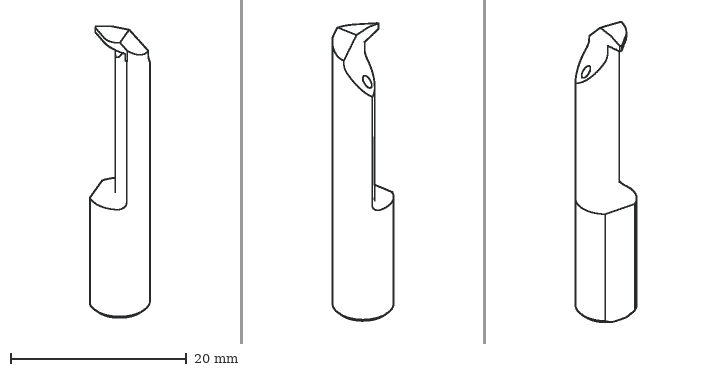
import cadquery as cq
import math

total_height = 37.0
shank_diameter = 7.0
shank_radius = shank_diameter / 2
shank_height = 14.8
shank_chamfer = 0.5
flat_to_back = 6.35
flat_x = shank_radius - flat_to_back

neck_radius = 3.0
neck_axis_x = 2.65
neck_base_fillet = 0.8

rake_y = 0.0
clearance_top_z = 33.65
clearance_run = 8.1
clearance_drop = 9.7
clearance_fillet = 1.65

nose_land = 0.25
outer_straight = 1.7
head_side_y = -2.85
edge_bottom_z = 35.9
edge_top_z = 36.55
wedge_slope = 0.3
head_arc_end_x = 1.0
head_side_bottom_z = 34.62

top_tilt = 0.04
bevel_sum = 38.17
bevel_tilt = 0.065

facet_angle = math.radians(34)
facet_bottom_z = 34.18
facet_slope = 0.32

coolant_diameter = 1.0
coolant_x = 1.45
coolant_y = 1.78

reach = 4 * shank_radius


def cut_beyond(body, point, normal):
    """Remove everything on the outer side of a plane."""
    plane = cq.Plane(origin=point, normal=normal)
    return body.cut(cq.Workplane(plane).rect(reach, reach).extrude(reach))


def make_blank():
    """Full-length cylinder with a bottom chamfer and the clamping flat."""
    blank = cq.Workplane("XY").circle(shank_radius).extrude(total_height)
    blank = blank.faces("<Z").chamfer(shank_chamfer)
    flat = cq.Workplane("XY").box(reach, reach, total_height, centered=(True, True, False))
    return blank.cut(flat.translate((flat_x - reach / 2, 0, 0)))


def cut_neck(body):
    """Turn the neck down about its offset axis, leaving a fillet at the shank."""
    upper_height = total_height - shank_height
    core = cq.Workplane("XY").circle(neck_radius).extrude(upper_height)
    ring = cq.Workplane("XY").circle(reach).extrude(upper_height).cut(core)
    at_core = cq.selectors.RadiusNthSelector(0)
    ring = ring.faces("<Z").edges(at_core).fillet(neck_base_fillet)
    body = body.cut(ring.translate((neck_axis_x, 0, shank_height)))

    cos_facet = math.cos(facet_angle)
    sin_facet = math.sin(facet_angle)
    facet_point = (neck_axis_x - neck_radius * cos_facet, -neck_radius * sin_facet, facet_bottom_z)
    body = cut_beyond(body, facet_point, (-cos_facet, -sin_facet, facet_slope))

    side = cq.Workplane("XY").box(reach, reach, reach, centered=(True, True, False))
    return body.cut(side.translate((0, head_side_y - reach / 2, head_side_bottom_z)))


def make_head():
    """Plan outline of the head limited to a wedge that thickens away from its edge."""
    straight_end_x = flat_x + outer_straight
    straight_end_y = rake_y - nose_land - outer_straight
    outline = (
        cq.Workplane("XY")
        .moveTo(shank_radius, rake_y)
        .lineTo(flat_x, rake_y)
        .lineTo(flat_x, rake_y - nose_land)
        .lineTo(straight_end_x, straight_end_y)
        .tangentArcPoint((head_arc_end_x, head_side_y), relative=False)
        .lineTo(shank_radius, head_side_y)
        .close()
        .extrude(total_height)
    )

    edge_plane = cq.Plane(
        origin=(flat_x, rake_y - nose_land, 0), xDir=(1, 1, 0), normal=(1, -1, 0)
    )
    rise = wedge_slope * reach
    wedge = (
        cq.Workplane(edge_plane)
        .polyline([
            (-reach, edge_bottom_z),
            (0, edge_bottom_z),
            (reach, edge_bottom_z - rise),
            (reach, edge_top_z + rise),
            (0, edge_top_z),
            (-reach, edge_top_z),
        ])
        .close()
        .extrude(reach, both=True)
    )
    envelope = cq.Workplane("XY").circle(shank_radius).extrude(total_height)
    return outline.intersect(wedge).intersect(envelope)


def cut_clearance(body):
    """Open the rake face and the slope that runs out of the neck."""
    slope_factor = reach / clearance_run
    cutter = (
        cq.Workplane("YZ")
        .moveTo(rake_y, total_height + reach)
        .lineTo(rake_y, clearance_top_z)
        .lineTo(rake_y + reach, clearance_top_z - clearance_drop * slope_factor)
        .lineTo(rake_y + reach, total_height + reach)
        .close()
        .extrude(reach, both=True)
    )
    corner = cq.selectors.NearestToPointSelector((0, rake_y, clearance_top_z))
    return body.cut(cutter.edges(corner).fillet(clearance_fillet))


def cut_coolant_hole(body):
    hole = cq.Workplane("XY").center(coolant_x, coolant_y).circle(coolant_diameter / 2)
    return body.cut(hole.extrude(total_height))


body = cut_neck(make_blank()).union(make_head())
body = cut_clearance(body)
body = cut_beyond(body, (0, rake_y, total_height), (0, -top_tilt, 1))
body = cut_beyond(body, (bevel_sum - total_height, rake_y, total_height), (1, -bevel_tilt, 1))
result = cut_coolant_hole(body)